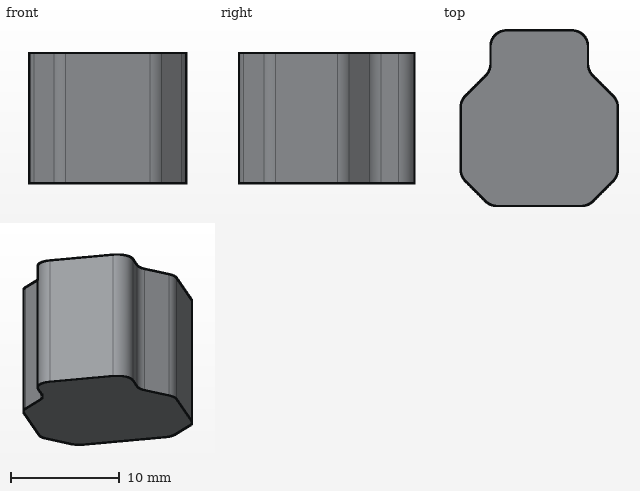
import cadquery as cq

body_width = 14.5
length = 16.2
height = 12.0

tab_width = 9.0
tab_length = 3.75
corner_radius = 1.5

corner_cut = (body_width - tab_width) / 2

half_body = body_width / 2
half_tab = tab_width / 2
front_y = -length / 2
back_y = length / 2
shoulder_back_y = back_y - tab_length
shoulder_front_y = shoulder_back_y - corner_cut

right_side = [
    (half_tab, front_y),
    (half_body, front_y + corner_cut),
    (half_body, shoulder_front_y),
    (half_tab, shoulder_back_y),
    (half_tab, back_y),
]
left_side = [(-x, y) for x, y in reversed(right_side)]

result = (
    cq.Workplane("XY")
    .polyline(right_side + left_side)
    .close()
    .extrude(height)
    .edges("|Z")
    .fillet(corner_radius)
)